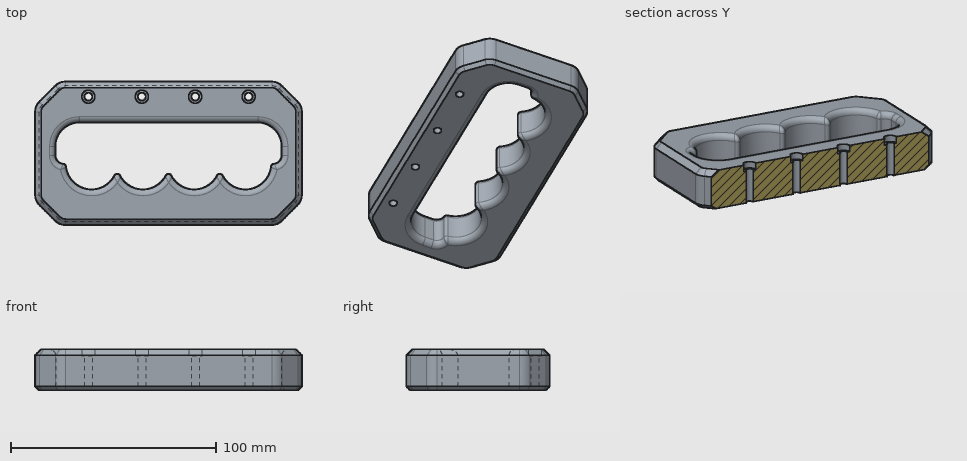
import cadquery as cq
import math

length = 130.0
width = 70.0
thickness = 20.0
corner_cut = 12.0
corner_round = 7.0
top_chamfer = 3.0
bottom_chamfer = 2.0

opening_half_length = 55.0
opening_top_y = 15.0
opening_bottom_y = -5.1
top_corner_radius = 11.6
bottom_corner_radius = 4.0
rim_radius = 3.0

finger_count = 4
finger_pitch = 25.0
finger_radius = finger_pitch / 2
tip_radius = 1.5

hole_count = 4
hole_pitch = 26.0
hole_y = 27.5
hole_diameter = 3.8
bore_diameter = 6.4
bore_depth = 3.2


def row(count, pitch, y):
    """Points evenly spaced along X and centred on X = 0."""
    return [((i - (count - 1) / 2) * pitch, y) for i in range(count)]


def toward(start, end, distance):
    """Point at a distance from start on the line to end."""
    ratio = distance / math.dist(start, end)
    return (start[0] + ratio * (end[0] - start[0]), start[1] + ratio * (end[1] - start[1]))


def short_arc(outline, start, end, center, radius):
    """Continue the outline from start to end along an arc of less than half a turn."""
    chord_middle = ((start[0] + end[0]) / 2, (start[1] + end[1]) / 2)
    return outline.threePointArc(toward(center, chord_middle, radius), end)


def tip_center(left, left_radius, right, right_radius):
    """Centre of the tip circle that touches both circles from outside, below their centre line."""
    left_reach = left_radius + tip_radius
    right_reach = right_radius + tip_radius
    span = math.dist(left, right)
    along = (span**2 + left_reach**2 - right_reach**2) / (2 * span)
    drop = math.sqrt(left_reach**2 - along**2)
    unit_x = (right[0] - left[0]) / span
    unit_y = (right[1] - left[1]) / span
    return (left[0] + along * unit_x + drop * unit_y, left[1] + along * unit_y - drop * unit_x)


def make_block():
    return (
        cq.Workplane("XY").rect(length, width).extrude(thickness)
        .edges("|Z").chamfer(corner_cut)
        .edges("|Z").fillet(corner_round)
        .faces(">Z").chamfer(top_chamfer)
        .faces("<Z").chamfer(bottom_chamfer)
    )


def make_opening():
    """Solid of the hand opening, with straight walls."""
    top_corner_x = opening_half_length - top_corner_radius
    top_corner_y = opening_top_y - top_corner_radius
    bottom_corner_x = opening_half_length - bottom_corner_radius
    bottom_corner_y = opening_bottom_y + bottom_corner_radius

    lobes = [((-bottom_corner_x, bottom_corner_y), bottom_corner_radius)]
    lobes += [(center, finger_radius) for center in row(finger_count, finger_pitch, opening_bottom_y)]
    lobes += [((bottom_corner_x, bottom_corner_y), bottom_corner_radius)]

    left_end = (-opening_half_length, top_corner_y)
    upper_left = (-top_corner_x, opening_top_y)
    outline = cq.Workplane("XY").moveTo(top_corner_x, opening_top_y).lineTo(*upper_left)
    outline = short_arc(outline, upper_left, left_end, (-top_corner_x, top_corner_y), top_corner_radius)

    start = (-opening_half_length, bottom_corner_y)
    outline = outline.lineTo(*start)
    for (left, left_radius), (right, right_radius) in zip(lobes, lobes[1:]):
        tip = tip_center(left, left_radius, right, right_radius)
        tip_start = toward(tip, left, tip_radius)
        tip_end = toward(tip, right, tip_radius)
        outline = short_arc(outline, start, tip_start, left, left_radius)
        outline = short_arc(outline, tip_start, tip_end, tip, tip_radius)
        start = tip_end
    last_center, last_radius = lobes[-1]
    outline = short_arc(outline, start, (opening_half_length, bottom_corner_y), last_center, last_radius)

    right_end = (opening_half_length, top_corner_y)
    upper_right = (top_corner_x, opening_top_y)
    outline = outline.lineTo(*right_end)
    outline = short_arc(outline, right_end, upper_right, (top_corner_x, top_corner_y), top_corner_radius)
    return outline.close().extrude(thickness)


def round_rims(body):
    """Round the edge of the hand opening on both faces."""
    lowest_y = opening_bottom_y - finger_radius
    margin = rim_radius / 2
    around_opening = cq.selectors.BoxSelector(
        (-opening_half_length - margin, lowest_y - margin, -margin),
        (opening_half_length + margin, opening_top_y + margin, thickness + margin),
        boundingbox=True,
    )
    for face in (">Z", "<Z"):
        body = body.faces(face).edges(around_opening).fillet(rim_radius)
    return body


def drill_holes(body):
    return (
        body.faces(">Z").workplane(origin=(0, 0, thickness))
        .pushPoints(row(hole_count, hole_pitch, hole_y))
        .cboreHole(hole_diameter, bore_diameter, bore_depth)
    )


result = drill_holes(round_rims(make_block().cut(make_opening())))